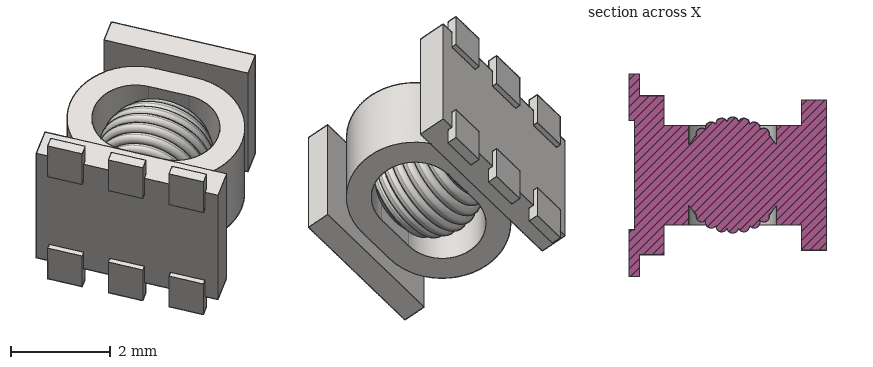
import cadquery as cq
import math

base_width = 3.81
base_height = 3.19
base_thickness = 0.595
pad_width = 0.723
pad_height = 0.938
pad_thickness = 0.21
pad_exposed = 0.105
pad_pitch = 1.27
pad_span = 4.06

ring_width = 3.6
ring_depth = 2.753
ring_height = 2.0
ring_wall = 0.5
back_size = 3.015
back_thickness = 0.505

coil_radius = 1.17
wire_radius = 0.118
crown_radius = 0.96
turn_angle = 13.4
turns_each_side = 3
core_middle_radius = 1.015
core_shoulder_y = 0.755
core_shoulder_radius = 0.78
core_end_radius = 0.59
core_embed = 0.02

base_center_y = -(ring_depth + base_thickness) / 2
base_front_y = -ring_depth / 2 - base_thickness
back_center_y = (ring_depth + back_thickness) / 2
opening_half_depth = ring_depth / 2 - ring_wall


def make_base():
    base = cq.Workplane("XY").box(base_width, base_thickness, base_height)
    return base.translate((0, base_center_y, 0))


def make_pads():
    """Two rows of three pads, sunk partly into the base's front face."""
    pad_center_y = base_front_y - pad_exposed + pad_thickness / 2
    return (
        cq.Workplane("XZ", origin=(0, pad_center_y, 0))
        .rarray(pad_pitch, pad_span - pad_height, 3, 2)
        .box(pad_width, pad_height, pad_thickness)
    )


def make_back_plate():
    plate = cq.Workplane("XY").box(back_size, back_thickness, back_size)
    return plate.translate((0, back_center_y, 0))


def make_ring():
    opening_width = ring_width - 2 * ring_wall
    return (
        cq.Workplane("XY", origin=(0, 0, -ring_height / 2))
        .slot2D(ring_width, ring_depth)
        .slot2D(opening_width, 2 * opening_half_depth)
        .extrude(ring_height)
    )


def make_core():
    """Solid barrel under the turns; its tapered ends run into the ring wall."""
    end_y = opening_half_depth + core_embed
    return (
        cq.Workplane("XY")
        .moveTo(0, -end_y)
        .lineTo(core_end_radius, -end_y)
        .lineTo(core_shoulder_radius, -core_shoulder_y)
        .threePointArc((core_middle_radius, 0), (core_shoulder_radius, core_shoulder_y))
        .lineTo(core_end_radius, end_y)
        .lineTo(0, end_y)
        .close()
        .revolve(360, (0, 0, 0), (0, 1, 0))
    )


def make_turn(index):
    """One round-wire turn; the turn centres follow the barrel's crown arc."""
    angle = math.radians(index * turn_angle)
    turn_y = crown_radius * math.sin(angle)
    turn_radius = coil_radius - wire_radius - crown_radius * (1 - math.cos(angle))
    turn = cq.Solid.makeTorus(turn_radius, wire_radius, cq.Vector(0, turn_y, 0), cq.Vector(0, 1, 0))
    return cq.Workplane(turn)


coil = make_core()
for turn_index in range(-turns_each_side, turns_each_side + 1):
    coil = coil.union(make_turn(turn_index))

result = make_base().union(make_pads()).union(make_ring()).union(make_back_plate()).union(coil)